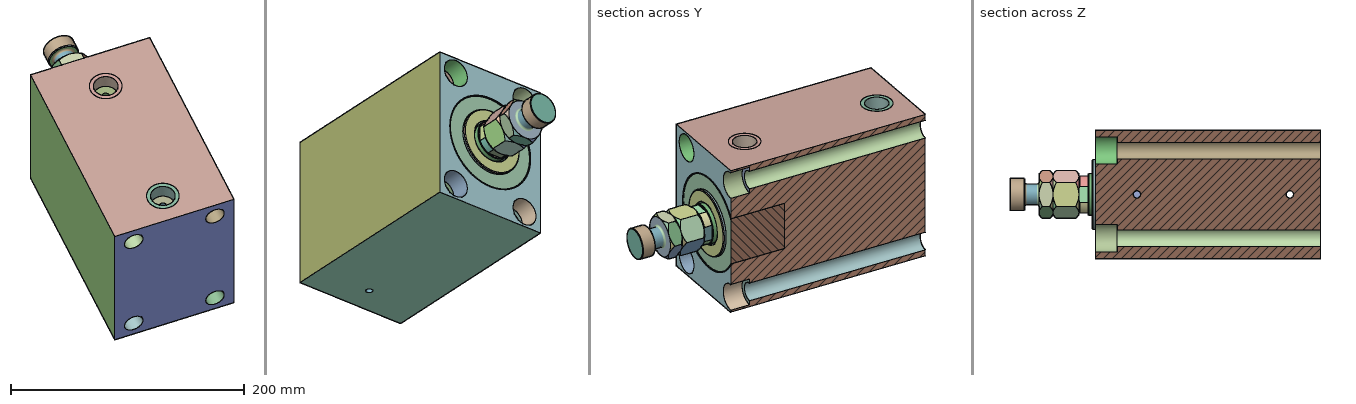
import cadquery as cq
import math


total_length = 266.0
block_length = 192.8
block_width = 110.0
block_height = 140.0
block_face_x = total_length - block_length

mount_spacing_y = 75.0
mount_spacing_z = 110.5
mount_hole_dia = 17.0
mount_counterbore_dia = 25.0
mount_counterbore_depth = 18.5

front_port_x = block_face_x + 35.6
rear_port_x = total_length - 26.3
port_spotface_dia = 28.0
port_spotface_depth = 0.13
port_dia = 21.0
port_depth = 13.3
port_drill_dia = 6.0

gland_dia = 87.0
gland_depth = 53.2
bore_mouth_chamfer = 0.8
gland_disc_dia = 60.0
gland_disc_height = 2.7
gland_disc_chamfer = 0.8
gland_recess_dia = 38.8
gland_recess_depth = 1.5
gland_disc_x = block_face_x - gland_disc_height
bore_floor_x = block_face_x + gland_depth

rod_dia = 36.0
rod_shoulder_x = 67.0
rod_end_dia = 34.8
rod_shoulder_chamfer = (rod_dia - rod_end_dia) / 2
rod_end_chamfer = 0.8
rod_across_flats = 32.0

head_dia = 28.0
head_length = 12.8
head_tip_chamfer = 0.5
head_back_chamfer = 0.8
neck_dia = 18.0
neck_fillet = 1.5
hex_across_flats = 35.6
thin_hex_x = 25.0
thick_hex_x = 37.0
thick_hex_end_x = 59.0
hex_corner_dia = hex_across_flats / math.cos(math.radians(30))
hex_chamfer = (hex_corner_dia - hex_across_flats) / 2


def cylinder(diameter, start_x, end_x):
    """Solid cylinder on the X axis."""
    base = cq.Workplane("YZ", origin=(start_x, 0, 0))
    return base.circle(diameter / 2).extrude(end_x - start_x)


def cut_port(block, port_x, drill_depth):
    """Cut a spotfaced port and its oil drilling down from the top face."""
    top = cq.Workplane("XY", origin=(port_x, 0, block_height / 2))
    steps = (
        (port_spotface_dia, port_spotface_depth),
        (port_dia, port_depth),
        (port_drill_dia, drill_depth),
    )
    for diameter, depth in steps:
        block = block.cut(top.circle(diameter / 2).extrude(-depth))
    return block


def make_housing():
    block = cq.Workplane("XY").box(block_length, block_width, block_height)
    block = block.translate((block_face_x + block_length / 2, 0, 0))

    block = (
        block.faces("<X").workplane(origin=(block_face_x, 0, 0))
        .rarray(mount_spacing_y, mount_spacing_z, 2, 2)
        .cboreHole(mount_hole_dia, mount_counterbore_dia, mount_counterbore_depth)
    )

    block = cut_port(block, front_port_x, block_height / 2)
    block = cut_port(block, rear_port_x, block_height)

    bore = cylinder(gland_dia, block_face_x, bore_floor_x)
    mouth_dia = gland_dia + 2 * bore_mouth_chamfer
    mouth = cylinder(mouth_dia, block_face_x - bore_mouth_chamfer, block_face_x + bore_mouth_chamfer)
    mouth = mouth.faces(">X").chamfer(bore_mouth_chamfer)
    return block.cut(bore).cut(mouth)


def make_gland():
    body = cylinder(gland_dia, block_face_x, bore_floor_x)
    disc = cylinder(gland_disc_dia, gland_disc_x, block_face_x)
    disc = disc.faces("<X").chamfer(gland_disc_chamfer)
    rod_hole = cylinder(rod_dia, gland_disc_x, bore_floor_x)
    recess = cylinder(gland_recess_dia, gland_disc_x, gland_disc_x + gland_recess_depth)
    return body.union(disc).cut(rod_hole).cut(recess)


def make_rod():
    shaft = cylinder(rod_dia, rod_shoulder_x, bore_floor_x)
    shaft = shaft.faces("<X").chamfer(rod_shoulder_chamfer)

    end = cylinder(rod_end_dia, thick_hex_end_x, rod_shoulder_x)
    end = end.faces("<X").chamfer(rod_end_chamfer)
    square = cq.Workplane("YZ", origin=(thick_hex_end_x, 0, 0)).rect(rod_across_flats, rod_across_flats)
    end = end.intersect(square.extrude(rod_shoulder_x - thick_hex_end_x))
    return shaft.union(end)


def make_hexagon(start_x, end_x):
    """Hexagon with flats facing up and down and conical chamfers on both ends."""
    length = end_x - start_x
    prism = cq.Workplane("YZ", origin=(start_x, 0, 0)).polygon(6, hex_corner_dia).extrude(length)
    envelope = cylinder(hex_corner_dia, start_x, end_x)
    envelope = envelope.faces("<X or >X").chamfer(hex_chamfer)
    return prism.intersect(envelope)


def make_coupling():
    head = cylinder(head_dia, 0, head_length)
    head = head.faces("<X").chamfer(head_tip_chamfer)
    head = head.faces(">X").chamfer(head_back_chamfer)
    neck = cylinder(neck_dia, head_length, thin_hex_x)
    thin_hex = make_hexagon(thin_hex_x, thick_hex_x)
    thick_hex = make_hexagon(thick_hex_x, thick_hex_end_x)
    coupling = head.union(neck).union(thin_hex).union(thick_hex)

    neck_ends = cq.selectors.BoxSelector(
        (head_length - neck_fillet, -neck_dia, -neck_dia),
        (thin_hex_x + neck_fillet, neck_dia, neck_dia),
    )
    neck_edges = coupling.edges(neck_ends).edges(cq.selectors.RadiusNthSelector(0))
    return neck_edges.fillet(neck_fillet)


housing = make_housing()
gland = make_gland()
rod = make_rod()
coupling = make_coupling()

result = cq.Compound.makeCompound([housing.val(), gland.val(), rod.val(), coupling.val()])